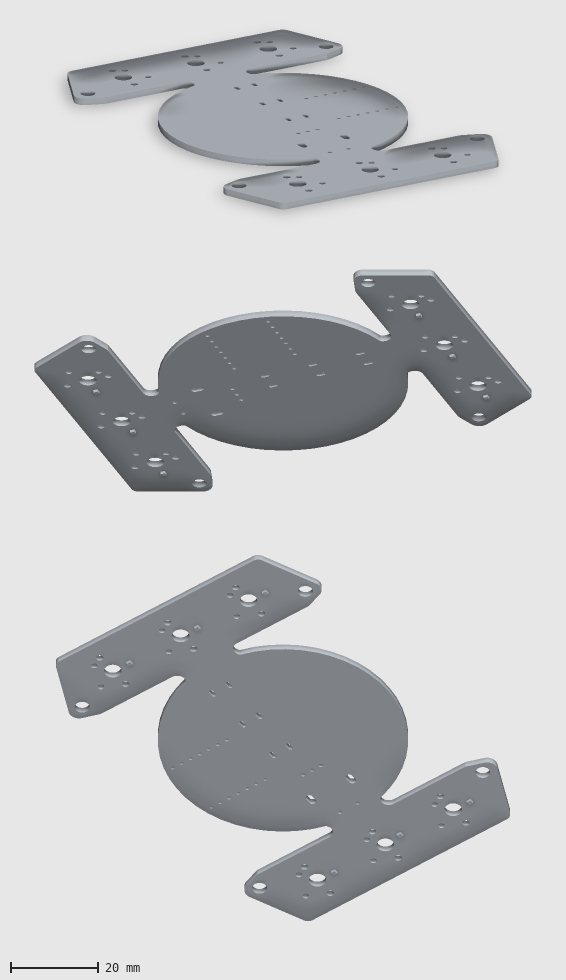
import cadquery as cq
import math

board_length = 100.0
board_thickness = 1.6
disc_radius = 28.7

wing_inner_x = 31.0
wing_inner_end_y = 29.2
wing_outer_corner_y = 28.5
wing_tip_x = 33.3
wing_tip_y = 35.9
tip_fillet = 2.4
outer_corner_fillet = 1.8
corner_reach = 0.1

slot_end_radius = 2.0
slot_end_x = wing_inner_x - slot_end_radius
slot_end_y = 9.1

mount_hole_diameter = 3.4
mount_hole_xs = (-35.2, 34.8)
mount_hole_y = 31.4

switch_x = 40.4
switch_pitch = 19.1
switch_centre_diameter = 4.0
switch_side_diameter = 1.7
switch_side_offset = 5.1
switch_pin_diameter = 1.5
switch_pin_offsets = [(-3.8, 2.5), (2.5, 5.1)]

header_hole_diameter = 0.89
header_row_x = 7.6
header_hole_count = 7
header_first_y = 10.4
header_last_y = 25.6

terminal_slot_length = 2.2
terminal_slot_width = 1.0
terminal_first_x = -21.4
terminal_pitch = 11.9
terminal_count = 3
terminal_upper_y = 4.6

encoder_hole_diameter = 1.0
encoder_signal_x = 11.5
encoder_button_x = 26.0
encoder_hole_pitch = 2.5
encoder_lug_x = 18.9
encoder_lug_y = 5.6
encoder_lug_length = 3.0
encoder_lug_width = 1.7

peg_width = 1.1
peg_height = 0.65
peg_draft_angle = 4.1
peg_offset_y = -4.7
shifted_peg_offset_x = -0.8

signs = (-1, 1)
switch_rows = (-1, 0, 1)
switch_centres = [
    (side * switch_x, row * switch_pitch) for side in signs for row in switch_rows
]


def corner_edges(x):
    """Selector for the vertical corner edges that stand at a given x."""
    low = (x - corner_reach, -board_length, 0)
    high = (x + corner_reach, board_length, board_thickness)
    vertical = cq.selectors.ParallelDirSelector(cq.Vector(0, 0, 1))
    return cq.selectors.AndSelector(vertical, cq.selectors.BoxSelector(low, high))


def make_wing(side):
    """Wing on the +X (side = 1) or -X (side = -1) end of the board."""
    outer_x = board_length / 2
    upper_half = [
        (side * outer_x, wing_outer_corner_y),
        (side * wing_tip_x, wing_tip_y),
        (side * wing_inner_x, wing_inner_end_y),
    ]
    lower_half = [(x, -y) for x, y in reversed(upper_half)]
    wing = cq.Workplane("XY").polyline(upper_half + lower_half).close().extrude(board_thickness)
    wing = wing.edges(corner_edges(side * wing_tip_x)).fillet(tip_fillet)
    return wing.edges(corner_edges(side * outer_x)).fillet(outer_corner_fillet)


def drill(board, points, diameter):
    """Cut round holes through the board."""
    holes = cq.Workplane("XY").pushPoints(points).circle(diameter / 2).extrude(board_thickness)
    return board.cut(holes)


def mill_slots(board, points, length, width):
    """Cut round-ended slots, lying along X, through the board."""
    slots = cq.Workplane("XY").pushPoints(points).slot2D(length, width).extrude(board_thickness)
    return board.cut(slots)


def make_bridge():
    """Bar from wing to wing, scooped out by the four slot ends."""
    bridge = cq.Workplane("XY").rect(2 * wing_inner_x, 2 * slot_end_y).extrude(board_thickness)
    slot_ends = [(sx * slot_end_x, sy * slot_end_y) for sx in signs for sy in signs]
    return drill(bridge, slot_ends, 2 * slot_end_radius)


def make_board_blank():
    """Bridge and wings joined to the full disc, which runs sharply into the slot ends."""
    blank = make_bridge()
    for side in signs:
        blank = blank.union(make_wing(side))
    disc = cq.Workplane("XY").circle(disc_radius).extrude(board_thickness)
    return blank.union(disc)


def cut_mounting_holes(board):
    points = [(x, side * mount_hole_y) for x in mount_hole_xs for side in signs]
    return drill(board, points, mount_hole_diameter)


def cut_switch_footprints(board):
    side_holes = [(x + s * switch_side_offset, y) for x, y in switch_centres for s in signs]
    pin_holes = [(x + dx, y + dy) for x, y in switch_centres for dx, dy in switch_pin_offsets]
    board = drill(board, switch_centres, switch_centre_diameter)
    board = drill(board, side_holes, switch_side_diameter)
    return drill(board, pin_holes, switch_pin_diameter)


def cut_header(board):
    pitch = (header_last_y - header_first_y) / (header_hole_count - 1)
    points = [
        (side * header_row_x, header_first_y + i * pitch)
        for side in signs
        for i in range(header_hole_count)
    ]
    return drill(board, points, header_hole_diameter)


def cut_terminal_slots(board):
    points = [
        (terminal_first_x + i * terminal_pitch, y)
        for i in range(terminal_count)
        for y in (0, terminal_upper_y)
    ]
    return mill_slots(board, points, terminal_slot_length, terminal_slot_width)


def cut_encoder_footprint(board):
    signal_holes = [(encoder_signal_x, i * encoder_hole_pitch) for i in (-1, 0, 1)]
    button_holes = [(encoder_button_x, s * encoder_hole_pitch) for s in signs]
    lugs = [(encoder_lug_x, s * encoder_lug_y) for s in signs]
    board = drill(board, signal_holes + button_holes, encoder_hole_diameter)
    return mill_slots(board, lugs, encoder_lug_length, encoder_lug_width)


def make_board():
    board = make_board_blank()
    board = cut_mounting_holes(board)
    board = cut_switch_footprints(board)
    board = cut_header(board)
    board = cut_terminal_slots(board)
    return cut_encoder_footprint(board)


def make_peg(x, y):
    """Short square peg on the underside of the board, tapering downward."""
    tip_width = peg_width - 2 * peg_height * math.tan(math.radians(peg_draft_angle))
    underside = cq.Workplane("XY").center(x, y).rect(peg_width, peg_width)
    return underside.workplane(offset=-peg_height).rect(tip_width, tip_width).loft(ruled=True)


board = make_board()

pegs = []
for switch_centre_x, switch_centre_y in switch_centres:
    is_shifted = switch_centre_x > 0 and switch_centre_y == 0
    peg_offset_x = shifted_peg_offset_x if is_shifted else 0
    pegs.append(make_peg(switch_centre_x + peg_offset_x, switch_centre_y + peg_offset_y))

result = cq.Compound.makeCompound([board.val(), *[peg.val() for peg in pegs]])